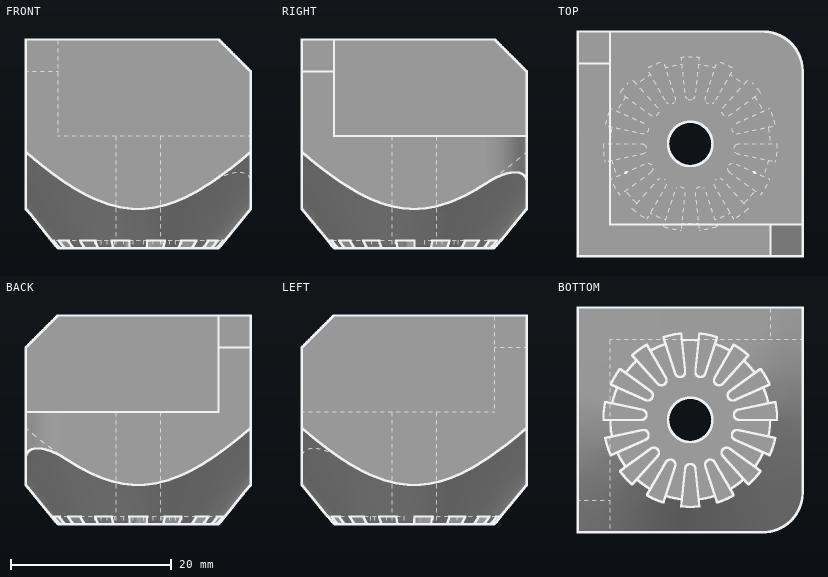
import cadquery as cq
import math

side = 28.0
height = 26.0
wall = 4.0
floor_level = 14.0
corner_radius = 5.0
bevel = 4.0
hole_diameter = 5.5

foot_radius = 10.0
cone_height = 12.0
rim_height = 0.35
rim_inset = 0.35

notch_count = 15
notch_depth = 1.0
notch_end_distance = 6.1

half = side / 2
pitch = 360.0 / notch_count
notch_half_angle = math.radians(pitch / 4)


def block():
    """Square base with two walls along the -X and -Y sides."""
    body = cq.Workplane("XY").box(side, side, height, centered=(True, True, False))
    pocket = (
        cq.Workplane("XY", origin=(wall / 2, wall / 2, floor_level))
        .rect(side - wall, side - wall)
        .extrude(height - floor_level)
    )
    body = body.cut(pocket)
    return body.edges("|Z and >X and >Y").fillet(corner_radius)


def wall_bevel(plane, origin):
    """Triangular prism, one wall thick, at the upper free end of a wall."""
    return (
        cq.Workplane(plane, origin=origin)
        .moveTo(half, height)
        .lineTo(half - bevel, height)
        .lineTo(half, height - bevel)
        .close()
        .extrude(wall)
    )


def tapered_envelope():
    """Cone, chamfered at the foot, that trims the underside of the block."""
    corner_reach = half * math.sqrt(2)
    cone_slope = (corner_reach - foot_radius) / cone_height
    top_radius = foot_radius + cone_slope * height
    rim_top_radius = foot_radius + cone_slope * rim_height
    return (
        cq.Workplane("XZ")
        .lineTo(rim_top_radius - rim_inset, 0)
        .lineTo(rim_top_radius, rim_height)
        .lineTo(top_radius, height)
        .lineTo(0, height)
        .close()
        .revolve(360, (0, 0, 0), (0, 1, 0))
    )


def notch():
    """Wedge-shaped notch along +Y whose inner end is an arc tangent to both sides."""
    end_radius = notch_end_distance * math.sin(notch_half_angle)
    tangent_x = end_radius * math.cos(notch_half_angle)
    tangent_y = notch_end_distance * math.cos(notch_half_angle) ** 2
    outer_y = half
    outer_x = outer_y * math.tan(notch_half_angle)
    return (
        cq.Workplane("XY")
        .moveTo(outer_x, outer_y)
        .lineTo(tangent_x, tangent_y)
        .threePointArc((0, notch_end_distance - end_radius), (-tangent_x, tangent_y))
        .lineTo(-outer_x, outer_y)
        .close()
        .extrude(notch_depth)
    )


result = block()

result = result.cut(wall_bevel("XZ", (0, wall - half, 0)))
result = result.cut(wall_bevel("YZ", (-half, 0, 0)))

result = result.intersect(tapered_envelope())

notch_cutter = notch()
for index in range(notch_count):
    result = result.cut(notch_cutter.rotate((0, 0, 0), (0, 0, 1), index * pitch))

hole = cq.Workplane("XY").circle(hole_diameter / 2).extrude(height)
result = result.cut(hole)